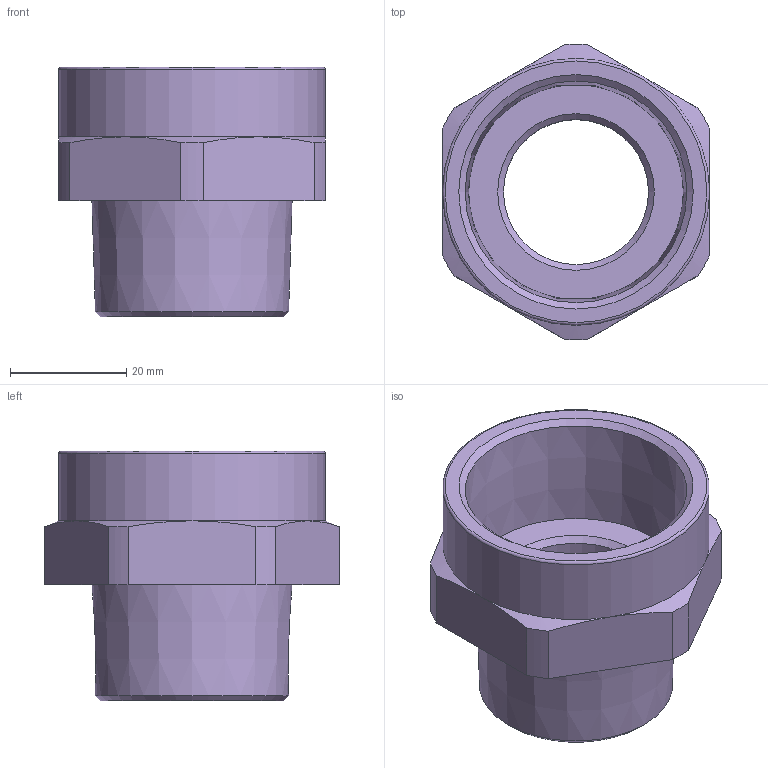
import cadquery as cq
import math


total_height = 43.0
spigot_length = 20.0
hex_height = 11.0
hex_top = spigot_length + hex_height

across_flats = 46.0
corner_diameter = 51.0
corner_bevel_drop = 1.0

collar_radius = across_flats / 2
rim_fillet = 0.45

radial_taper = 1 / 32
spigot_end_radius = 16.65
spigot_chamfer = 0.9
spigot_root_radius = spigot_end_radius + (spigot_length - spigot_chamfer) * radial_taper

socket_depth = 20.0
socket_mouth_radius = 19.1
socket_chamfer_width = 1.1
socket_chamfer_depth = 0.9
socket_floor = total_height - socket_depth
socket_floor_radius = socket_mouth_radius - (socket_depth - socket_chamfer_depth) * radial_taper

bore_radius = 12.5
bore_chamfer = 1.0

clearance = 1.0


def revolve_profile(points):
    """Turn a closed outline of (radius, z) points around the Z axis."""
    return cq.Workplane("XZ").polyline(points).close().revolve(360, (0, 0), (0, 1))


def make_spigot():
    return revolve_profile([
        (0, 0),
        (spigot_end_radius - spigot_chamfer, 0),
        (spigot_end_radius, spigot_chamfer),
        (spigot_root_radius, spigot_length),
        (0, spigot_length),
    ])


def make_hexagon():
    """Hexagon with flats facing +X and -X, its corners turned round and bevelled on top."""
    across_corners = across_flats / math.cos(math.radians(30))
    prism = (
        cq.Workplane("XY", origin=(0, 0, spigot_length))
        .transformed(rotate=(0, 0, 30))
        .polygon(6, across_corners)
        .extrude(hex_height)
    )
    corner_radius = corner_diameter / 2
    envelope = revolve_profile([
        (0, spigot_length),
        (corner_radius, spigot_length),
        (corner_radius, hex_top - corner_bevel_drop),
        (collar_radius, hex_top),
        (0, hex_top),
    ])
    return prism.intersect(envelope)


def make_collar():
    collar = cq.Workplane("XY", origin=(0, 0, hex_top)).circle(collar_radius).extrude(total_height - hex_top)
    return collar.faces(">Z").edges().fillet(rim_fillet)


def make_passage():
    """Cutter for the chamfered socket and the through bore below it."""
    socket_rim_radius = socket_mouth_radius + socket_chamfer_width
    return revolve_profile([
        (0, -clearance),
        (bore_radius, -clearance),
        (bore_radius, socket_floor - bore_chamfer),
        (bore_radius + bore_chamfer, socket_floor),
        (socket_floor_radius, socket_floor),
        (socket_mouth_radius, total_height - socket_chamfer_depth),
        (socket_rim_radius, total_height),
        (socket_rim_radius, total_height + clearance),
        (0, total_height + clearance),
    ])


result = make_spigot().union(make_hexagon()).union(make_collar()).cut(make_passage())